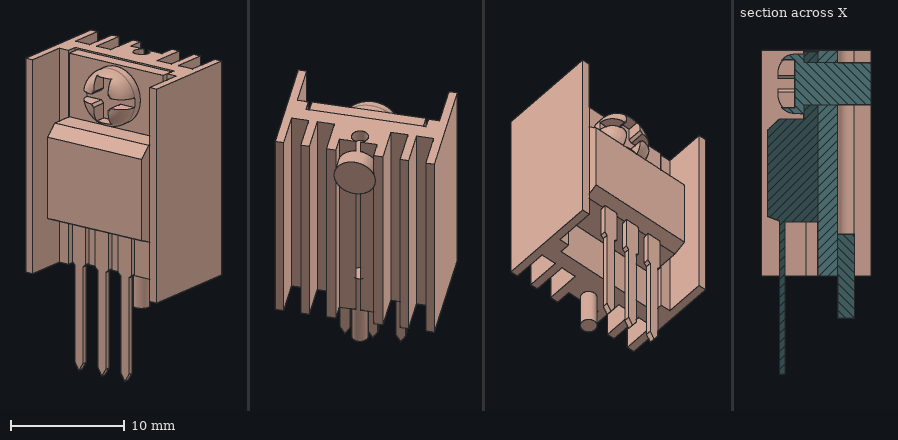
import cadquery as cq


OVERALL_HEIGHT = 28.68

SINK_WIDTH = 14.4
SINK_HEIGHT = 20.0
SINK_DEPTH = 9.7
REAR_Y = 4.73
FRONT_Y = REAR_Y - SINK_DEPTH
FIN_THICKNESS = 0.77
FIN_PITCH = 2.32
FIN_LENGTH = 3.33
GAPS_PER_SIDE = 2
SEAT_WIDTH = 10.85
SEAT_DEPTH = 1.0
SLOT_WIDTH = 3.4
SLOT_DEPTH = 1.5

PIN_DIAMETER = 1.5
PIN_Y = REAR_Y - 2.2
PIN_EXPOSED = 3.73
PIN_INSERTED = PIN_EXPOSED

CASE_WIDTH = 10.32
TAB_THICKNESS = 1.23
TAB_TOP = 19.85
CASE_TOP = 13.9
CASE_BOTTOM = 4.8
CASE_THICKNESS = 4.45
TOP_SLOPE_START = 3.38
BOTTOM_SLOPE_START = 3.15
TOP_SLOPE_DROP = 1.03
BOTTOM_SLOPE_RISE = 0.5

LEAD_ROOT = CASE_BOTTOM + BOTTOM_SLOPE_RISE
LEAD_PITCH = 2.52
LEAD_COUNT = 3
LEAD_FRONT = TOP_SLOPE_START
LEAD_THICKNESS = 0.52
LEAD_WIDE = 1.43
LEAD_NARROW = 0.9
SHOULDER_TOP = 1.35
SHOULDER_BOTTOM = SHOULDER_TOP - (LEAD_WIDE - LEAD_NARROW) / 2
LEAD_TIP = SINK_HEIGHT - OVERALL_HEIGHT
TIP_LENGTH = 0.75

SCREW_Z = 17.0
SHANK_DIAMETER = 3.73
HEAD_DIAMETER = 5.3
HEAD_HEIGHT = 2.27
DOME_RADIUS = 1.45
DRIVE_DEPTH = DOME_RADIUS
DRIVE_SLOT_WIDTH = 0.92
DRIVE_CROSS_WIDTH = 1.58
DRIVE_CROSS_LENGTH = 4.22
DRIVE_CORNER = 0.25


def box(x_size, y_min, y_max, z_min, z_max, x_centre=0.0):
    """Box centred on x_centre with the given Y and Z limits."""
    return (
        cq.Workplane("XY")
        .box(x_size, y_max - y_min, z_max - z_min, centered=(True, False, False))
        .translate((x_centre, y_min, z_min))
    )


def screw_cylinder(diameter, y_start, y_end):
    """Cylinder on the screw axis between two Y positions."""
    return (
        cq.Workplane("XZ", origin=(0, y_start, SCREW_Z))
        .circle(diameter / 2)
        .extrude(y_start - y_end)
    )


def pin_cylinder(z_start, z_end):
    """Cylinder on the solder pin axis between two Z positions."""
    return (
        cq.Workplane("XY", origin=(0, PIN_Y, z_start))
        .circle(PIN_DIAMETER / 2)
        .extrude(z_end - z_start)
    )


def make_heatsink():
    sink = box(SINK_WIDTH, FRONT_Y, REAR_Y, 0, SINK_HEIGHT)

    channel_width = SINK_WIDTH - 2 * FIN_THICKNESS
    sink = sink.cut(box(channel_width, FRONT_Y, -SEAT_DEPTH, 0, SINK_HEIGHT))
    sink = sink.cut(box(SEAT_WIDTH, -SEAT_DEPTH, 0, 0, SINK_HEIGHT))

    gap_width = FIN_PITCH - FIN_THICKNESS
    for side in (-1, 1):
        for index in range(GAPS_PER_SIDE):
            inset = FIN_THICKNESS + gap_width / 2 + index * FIN_PITCH
            gap_x = side * (SINK_WIDTH / 2 - inset)
            sink = sink.cut(box(gap_width, REAR_Y - FIN_LENGTH, REAR_Y, 0, SINK_HEIGHT, gap_x))

    sink = sink.cut(box(SLOT_WIDTH, REAR_Y - SLOT_DEPTH, REAR_Y, 0, SINK_HEIGHT))
    sink = sink.cut(pin_cylinder(0, SINK_HEIGHT))
    return sink.cut(screw_cylinder(SHANK_DIAMETER, 0, REAR_Y))


def make_solder_pin():
    return pin_cylinder(-PIN_EXPOSED, PIN_INSERTED)


def make_lead(x_centre):
    """Flat lead that narrows at a shoulder and ends in a point."""
    half_wide = LEAD_WIDE / 2
    half_narrow = LEAD_NARROW / 2
    right_side = [
        (half_wide, LEAD_ROOT),
        (half_wide, SHOULDER_TOP),
        (half_narrow, SHOULDER_BOTTOM),
        (half_narrow, LEAD_TIP + TIP_LENGTH),
    ]
    left_side = [(-x, z) for x, z in reversed(right_side)]
    return (
        cq.Workplane("XZ", origin=(x_centre, LEAD_THICKNESS - LEAD_FRONT, 0))
        .polyline(right_side + [(0, LEAD_TIP)] + left_side)
        .close()
        .extrude(LEAD_THICKNESS)
    )


def make_transistor():
    profile = [
        (0, CASE_BOTTOM),
        (0, TAB_TOP),
        (-TAB_THICKNESS, TAB_TOP),
        (-TAB_THICKNESS, CASE_TOP),
        (-TOP_SLOPE_START, CASE_TOP),
        (-CASE_THICKNESS, CASE_TOP - TOP_SLOPE_DROP),
        (-CASE_THICKNESS, CASE_BOTTOM + BOTTOM_SLOPE_RISE),
        (-BOTTOM_SLOPE_START, CASE_BOTTOM),
    ]
    transistor = cq.Workplane("YZ").polyline(profile).close().extrude(CASE_WIDTH / 2, both=True)
    transistor = transistor.cut(screw_cylinder(SHANK_DIAMETER, 0, -TAB_THICKNESS))
    for index in range(LEAD_COUNT):
        lead_x = (index - (LEAD_COUNT - 1) / 2) * LEAD_PITCH
        transistor = transistor.union(make_lead(lead_x))
    return transistor


def make_drive_recess(y_floor, y_top):
    """Cross-shaped recess: a slot across the whole head and a wider vertical arm."""
    z_min = SCREW_Z - DRIVE_CROSS_LENGTH / 2
    z_max = SCREW_Z + DRIVE_CROSS_LENGTH / 2
    slot_half = DRIVE_SLOT_WIDTH / 2
    slot = box(HEAD_DIAMETER, y_top, y_floor, SCREW_Z - slot_half, SCREW_Z + slot_half)
    arm = box(DRIVE_CROSS_WIDTH, y_top, y_floor, z_min, z_max)

    near_x = DRIVE_CROSS_WIDTH / 2
    far_x = near_x + DRIVE_CORNER
    far_z = slot_half + DRIVE_CORNER
    upper = [(far_x, slot_half), (near_x, far_z), (-near_x, far_z), (-far_x, slot_half)]
    lower = [(-x, -z) for x, z in upper]
    centre = (
        cq.Workplane("XZ", origin=(0, y_floor, SCREW_Z))
        .polyline(upper + lower)
        .close()
        .extrude(y_floor - y_top)
    )
    return slot.union(arm).union(centre)


def make_screw():
    head_top = -TAB_THICKNESS - HEAD_HEIGHT
    head = screw_cylinder(HEAD_DIAMETER, -TAB_THICKNESS, head_top)
    head = head.faces("<Y").edges().fillet(DOME_RADIUS)
    head = head.cut(make_drive_recess(head_top + DRIVE_DEPTH, head_top))
    return head.union(screw_cylinder(SHANK_DIAMETER, -TAB_THICKNESS, REAR_Y))


heatsink = make_heatsink()
solder_pin = make_solder_pin()
transistor = make_transistor()
screw = make_screw()

result = cq.Compound.makeCompound(
    [heatsink.val(), solder_pin.val(), transistor.val(), screw.val()]
)